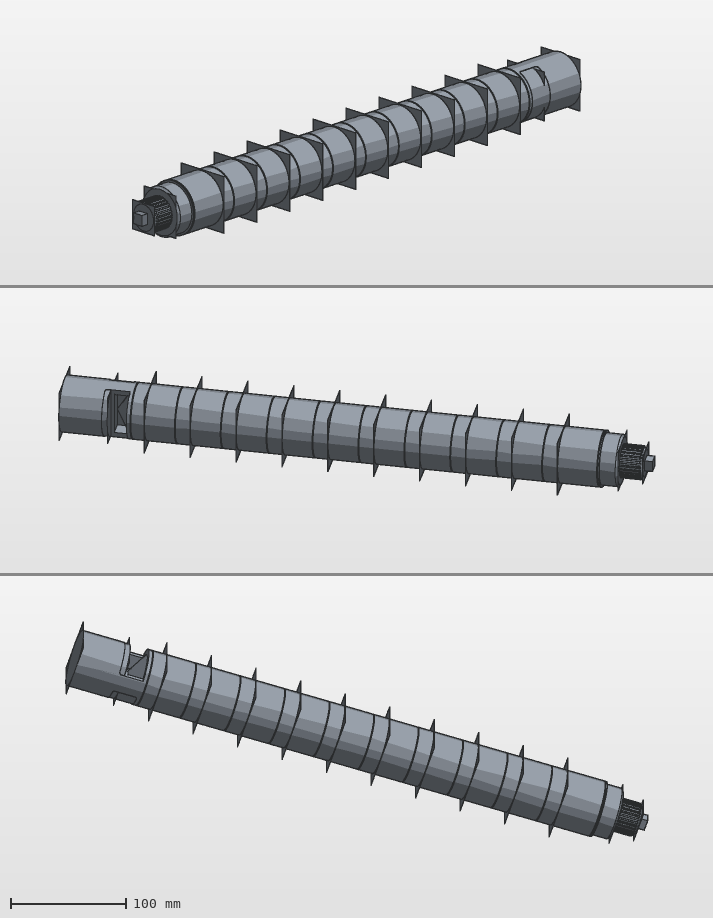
import cadquery as cq

total_length = 522.41
coupling_front = 7.0
cap_front = 27.5
body_front = 43.5
first_plate = 80.0
stage_pitch = 40.7
stage_count = 10
inlet_front = 462.5
inlet_rear = 479.5

body_diameter = 50.0
cap_diameter = 46.0
coupling_diameter = 30.0
shaft_side = 10.0
cap_chamfer = 2.0
coupling_chamfer = 3.0

spline_count = 30
spline_groove_width = 1.4
spline_groove_depth = 1.2

plate_thickness = 0.2
stage_plate_width = 52.0
stage_plate_height = 52.04
rear_plate_side = 47.5
inlet_plate_side = 45.0
cap_plate_side = 39.0
coupling_plate_side = 27.0

joint_width = 0.8
joint_depth = 0.3
stage_joint_offset = 13.5
inlet_joint_offset = 4.0
body_ring_offset = 1.2

inlet_wall_x = -8.5
cone_base_radius = 20.0
cone_length = 13.0
chamber_x = 5.0
chamber_height = 38.0
chamber_clearance = 1.0

screen_edge_x = -inlet_wall_x
screen_rear = 484.5
screen_depth = 0.4
screen_corner_radius = 2.0

body_radius = body_diameter / 2
overlap = 1.0


def cylinder(diameter, y_start, y_end):
    """Solid cylinder on the Y axis between two stations."""
    length = y_end - y_start
    return cq.Workplane("XZ", origin=(0, y_end, 0)).circle(diameter / 2).extrude(length)


def slab(width, height, y_start, y_end):
    """Rectangular block centred on the Y axis between two stations."""
    length = y_end - y_start
    return cq.Workplane("XZ", origin=(0, y_end, 0)).rect(width, height).extrude(length)


def surface_ring(y_start, y_end, depth):
    """Cutter that lowers the casing surface by the given depth."""
    outer = cylinder(body_diameter + 2 * overlap, y_start, y_end)
    inner = cylinder(body_diameter - 2 * depth, y_start, y_end)
    return outer.cut(inner)


def make_coupling():
    """Chamfered coupling with lengthwise splines, and the square shaft tip."""
    coupling = cylinder(coupling_diameter, coupling_front, cap_front)
    coupling = coupling.faces("<Y").chamfer(coupling_chamfer)
    grooves = (
        cq.Workplane("XZ", origin=(0, cap_front, 0))
        .polarArray(coupling_diameter / 2, 0, 360, spline_count)
        .rect(2 * spline_groove_depth, spline_groove_width)
        .extrude(cap_front - coupling_front)
    )
    shaft = slab(shaft_side, shaft_side, 0, coupling_front + overlap)
    return coupling.cut(grooves).union(shaft)


def inlet_box(x_end, height, y_end):
    """Box that opens the -X side from the inlet front back to y_end and in to x_end."""
    width = body_radius + overlap + x_end
    length = y_end - inlet_front
    centre = (x_end - width / 2, inlet_front + length / 2, 0)
    return cq.Workplane("XY").box(width, length, height).translate(centre)


def make_inlet():
    """Full-height notch and the deeper chamber behind it, less the cone that stands inside."""
    notch = inlet_box(inlet_wall_x, body_diameter + 2 * overlap, inlet_rear)
    chamber = inlet_box(chamber_x, chamber_height, inlet_front + cone_length + chamber_clearance)
    cone_start = cq.Vector(0, inlet_front, 0)
    cone = cq.Solid.makeCone(cone_base_radius, 0, cone_length, cone_start, cq.Vector(0, 1, 0))
    return notch.union(chamber).cut(cq.Workplane(cone))


def make_screen_seats():
    """Pair of shallow cutters on the -X and +X sides with rounded corners at their edges."""
    seat_width = body_radius + overlap - screen_edge_x
    seat_length = screen_rear - inlet_front
    right_seat = (
        cq.Workplane("XY")
        .box(seat_width, seat_length, body_diameter + 2 * overlap)
        .edges("|Z and <X")
        .fillet(screen_corner_radius)
        .translate((screen_edge_x + seat_width / 2, inlet_front + seat_length / 2, 0))
    )
    seats = right_seat.union(right_seat.mirror("YZ"))
    return seats.cut(cylinder(body_diameter - 2 * screen_depth, inlet_front, screen_rear))


def joint_stations():
    """Front stations of all joint rings on the casing."""
    stage_joints = [
        first_plate + stage * stage_pitch + stage_joint_offset for stage in range(stage_count - 1)
    ]
    return stage_joints + [body_front + body_ring_offset, inlet_front - inlet_joint_offset]


def make_casing():
    """Casing with its front cap, joint rings, side inlet and screen seats."""
    casing = cylinder(body_diameter, body_front, total_length)
    for station in joint_stations():
        casing = casing.cut(surface_ring(station, station + joint_width, joint_depth))
    casing = casing.cut(make_inlet()).cut(make_screen_seats())
    cap = cylinder(cap_diameter, cap_front, body_front).faces("<Y").chamfer(cap_chamfer)
    return casing.union(cap)


def plate(width, height, y_front):
    """Thin rectangular plate whose front face lies at the given station."""
    return slab(width, height, y_front, y_front + plate_thickness)


def make_plates():
    """All plates: one per stage and one at each main shoulder."""
    plates = [
        plate(stage_plate_width, stage_plate_height, first_plate + stage * stage_pitch)
        for stage in range(stage_count)
    ]
    shoulder_plates = [
        (rear_plate_side, total_length - plate_thickness),
        (inlet_plate_side, inlet_rear),
        (cap_plate_side, cap_front),
        (coupling_plate_side, coupling_front),
    ]
    for side, station in shoulder_plates:
        plates.append(plate(side, side, station))
    return plates


result = make_casing().union(make_coupling())
for thin_plate in make_plates():
    result = result.union(thin_plate)